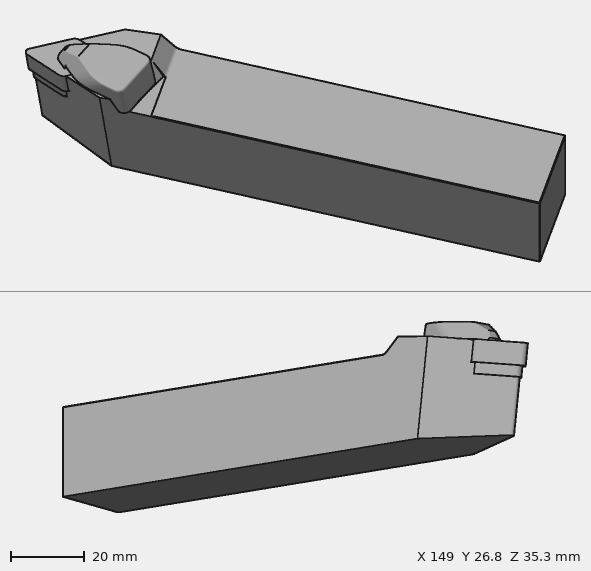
import cadquery as cq
import math

LENGTH = 149.0
SHANK = 25.0
EDGE_CHAMFER = 0.22
HEAD_TILT = 7.0
NOSE_HEIGHT = 25.0
POINT_ANGLE = 55.0

RIDGE_X = 34.6
RAMP_END_X = 39.0
RAMP_FILLET = 1.5
HEAD_SETBACK = 0.6
HEAD_NOSE_RADIUS = 0.82

INSERT_EDGE = 15.5
INSERT_THICKNESS = 6.3
INSERT_NOSE_RADIUS = 1.2
INSERT_CORNER_RADIUS = 2.2

SHIM_THICKNESS = 3.1
SHIM_INSET = 0.5
SHIM_NOSE_RADIUS = 1.3
SHIM_CORNER_RADIUS = 3.9

CLAMP_TURN = -20.0
CLAMP_OFFSET = 4.6
CLAMP_WIDTH = 14.9
CLAMP_TOP = 6.0
CLAMP_GAP = 0.7
CLAMP_START = 9.2
CLAMP_END = 35.8
REAR_LEAN = 0.6
CLAMP_CORNER_RADIUS = 2.2
CLAMP_EDGE_FILLET = 0.7
TIP_WIDTH = 4.9
TAPER_ANGLE = 27.0
TAPER_BLEND_RADIUS = 16.4
TONGUE_LEAN = 1.25
PAD_LENGTH = 3.7
TIP_LAND = 1.2
BEVEL_START = (11.2, 3.5)
BEVEL_END = 17.3
LEG_SLOPE_START = 30.7
LEG_SLOPE_END = 33.2
SLOT_SETBACK = 0.6
LEG_DEPTH = 3.0

SLOT_SIDE = 14.9
SLOT_FLOOR = 24.9

HALF_POINT = math.radians(POINT_ANGLE / 2)
TILT = math.radians(HEAD_TILT)
RIDGE_Z = NOSE_HEIGHT + RIDGE_X * math.tan(TILT)
RAMP_ANGLE = math.atan2(RIDGE_Z - SHANK, RAMP_END_X - RIDGE_X)
RAMP_TANGENT = RAMP_FILLET * math.tan(RAMP_ANGLE / 2)
HEAD_END_X = RAMP_END_X + RAMP_TANGENT
REACH = 2 * LENGTH


def on_seat(shape):
    """Move a shape from the seat frame (origin at the insert nose) into place."""
    return shape.rotate((0, 0, 0), (0, 1, 0), -HEAD_TILT).translate((0, 0, NOSE_HEIGHT))


def on_clamp(shape):
    """Move a shape from the clamp frame (X along the clamp) into the seat frame."""
    return shape.translate((0, CLAMP_OFFSET, 0)).rotate((0, 0, 0), (0, 0, 1), CLAMP_TURN)


def sharp_tip(nose_radius):
    """Distance from a rounded nose to the sharp point ahead of it."""
    return nose_radius * (1 / math.sin(HALF_POINT) - 1)


def rhombus(tip_x, edge, nose_radius, corner_radius, top, thickness):
    """Rhombic plate below `top`, with its sharp tip at tip_x on the X axis."""
    half_length = edge * math.cos(HALF_POINT)
    half_width = edge * math.sin(HALF_POINT)
    plate = (
        cq.Workplane("XY", origin=(tip_x + half_length, 0, top))
        .polyline([(-half_length, 0), (0, -half_width), (half_length, 0), (0, half_width)])
        .close()
        .extrude(-thickness)
    )
    plate = plate.edges("|Z and (<X or >X)").fillet(nose_radius)
    return plate.edges("|Z").edges("<Y or >Y").fillet(corner_radius)


INSERT_TIP = -sharp_tip(INSERT_NOSE_RADIUS)


def make_insert():
    """Rhombic cutting plate with its top face on the seat plane."""
    plate = rhombus(
        INSERT_TIP, INSERT_EDGE, INSERT_NOSE_RADIUS, INSERT_CORNER_RADIUS, 0, INSERT_THICKNESS
    )
    return on_seat(plate)


def make_shim():
    """Plate under the insert with all its sides set in by the same amount."""
    tip = INSERT_TIP + SHIM_INSET / math.sin(HALF_POINT)
    edge = INSERT_EDGE - 2 * SHIM_INSET / math.sin(2 * HALF_POINT)
    return on_seat(
        rhombus(tip, edge, SHIM_NOSE_RADIUS, SHIM_CORNER_RADIUS, -INSERT_THICKNESS, SHIM_THICKNESS)
    )


def make_head_wedge():
    """Pointed outline of the head, square to the seat plane."""
    half_width = REACH * math.tan(HALF_POINT)
    wedge = (
        cq.Workplane("XY")
        .polyline([(0, 0), (REACH, -half_width), (REACH, half_width)])
        .close()
        .extrude(LENGTH, both=True)
        .edges("|Z and <X")
        .fillet(HEAD_NOSE_RADIUS)
    )
    return on_seat(wedge.translate((HEAD_SETBACK, 0, 0)))


def make_head_block():
    """Front block with the tilted head top and the ramp down to the shank."""
    ramp_foot = (
        RAMP_END_X - RAMP_TANGENT * math.cos(RAMP_ANGLE),
        SHANK + RAMP_TANGENT * math.sin(RAMP_ANGLE),
    )
    fillet_middle = (
        HEAD_END_X - RAMP_FILLET * math.sin(RAMP_ANGLE / 2),
        SHANK + RAMP_FILLET * (1 - math.cos(RAMP_ANGLE / 2)),
    )
    block = (
        cq.Workplane("XZ")
        .moveTo(0, 0)
        .lineTo(HEAD_END_X, 0)
        .lineTo(HEAD_END_X, SHANK)
        .threePointArc(fillet_middle, ramp_foot)
        .lineTo(RIDGE_X, RIDGE_Z)
        .lineTo(0, NOSE_HEIGHT)
        .close()
        .extrude(SHANK / 2, both=True)
    )
    return block.intersect(make_head_wedge())


def make_shank():
    """Square bar, chamfered on its upper edges and its end, with the head in front."""
    bar = (
        cq.Workplane("XY")
        .box(LENGTH - HEAD_END_X, SHANK, SHANK, centered=(False, True, False))
        .translate((HEAD_END_X, 0, 0))
    )
    bar = bar.edges("(>Z and |X) or (>X and (|Z or >Z))").chamfer(EDGE_CHAMFER)
    return make_head_block().union(bar)


def make_leg_slot():
    """Open space behind the head that takes the clamp leg."""
    slope = (LEG_SLOPE_END - LEG_SLOPE_START) / (CLAMP_GAP + LEG_DEPTH)
    half_depth = 2 * CLAMP_TOP
    middle = LEG_SLOPE_START + SLOT_SETBACK + slope * CLAMP_GAP
    slot = (
        cq.Workplane("XZ", origin=(0, SLOT_SIDE - CLAMP_OFFSET, 0))
        .polyline([
            (middle - slope * half_depth, half_depth), (middle + slope * half_depth, -half_depth),
            (LENGTH / 2, -half_depth), (LENGTH / 2, half_depth),
        ])
        .close()
        .extrude(REACH)
    )
    above_floor = cq.Workplane("XY", origin=(0, 0, SLOT_FLOOR)).rect(REACH, REACH).extrude(REACH)
    before_shank = cq.Workplane("XY").box(2 * RAMP_END_X, REACH, REACH)
    return on_seat(on_clamp(slot)).intersect(above_floor).intersect(before_shank)


def make_clamp_tongue():
    """Tapered plan outline swept up and back at a slant."""
    half_tip = TIP_WIDTH / 2
    half_width = CLAMP_WIDTH / 2
    taper = math.tan(math.radians(TAPER_ANGLE))
    height = CLAMP_TOP + LEG_DEPTH
    tip = CLAMP_START - LEG_DEPTH * TONGUE_LEAN
    shoulder = tip + (half_width - half_tip) / taper
    front = tip - half_tip / taper
    rear = CLAMP_END + height
    outline = (
        cq.Workplane("XY", origin=(0, 0, -LEG_DEPTH))
        .polyline([
            (front, 0), (shoulder, -half_width), (rear, -half_width),
            (rear, half_width), (shoulder, half_width),
        ])
        .close()
        .wire()
        .val()
    )
    shoulders = [v for v in outline.Vertices() if abs(v.X - shoulder) < CLAMP_EDGE_FILLET]
    outline = outline.fillet2D(TAPER_BLEND_RADIUS, shoulders)
    sweep = cq.Vector(height * TONGUE_LEAN, 0, height)
    return cq.Workplane(cq.Solid.extrudeLinear(outline, [], sweep))


def make_clamp():
    """Clamp with a bevelled nose, a pad on the insert and a leg behind the head."""
    side = (
        cq.Workplane("XZ")
        .polyline([
            (CLAMP_START, 0), (CLAMP_START, TIP_LAND), BEVEL_START,
            (BEVEL_END, CLAMP_TOP), (CLAMP_END - REAR_LEAN, CLAMP_TOP),
            (CLAMP_END, -LEG_DEPTH), (LEG_SLOPE_END, -LEG_DEPTH), (LEG_SLOPE_START, CLAMP_GAP),
            (CLAMP_START + PAD_LENGTH, CLAMP_GAP), (CLAMP_START + PAD_LENGTH, 0),
        ])
        .close()
        .extrude(CLAMP_WIDTH / 2, both=True)
        .faces(">X")
        .edges("not |Y")
        .fillet(CLAMP_CORNER_RADIUS)
    )
    clamp = side.intersect(make_clamp_tongue())
    nose_box = cq.selectors.BoxSelector(
        (CLAMP_START, -CLAMP_WIDTH, TIP_LAND), (BEVEL_END, CLAMP_WIDTH, CLAMP_TOP)
    )
    nose_sides = clamp.edges(nose_box).edges("not |Y")
    top_rim = clamp.faces(">Z").edges("not (|Y and <X)")
    clamp = nose_sides.add(top_rim).fillet(CLAMP_EDGE_FILLET)
    return on_seat(on_clamp(clamp))


def make_holder(insert):
    """Shank, shim and clamp as one body, with the pocket that seats the insert."""
    body = make_shank().cut(make_leg_slot()).union(make_shim())
    return body.union(make_clamp()).cut(insert)


insert = make_insert()
holder = make_holder(insert)
result = cq.Compound.makeCompound([holder.val(), insert.val()])